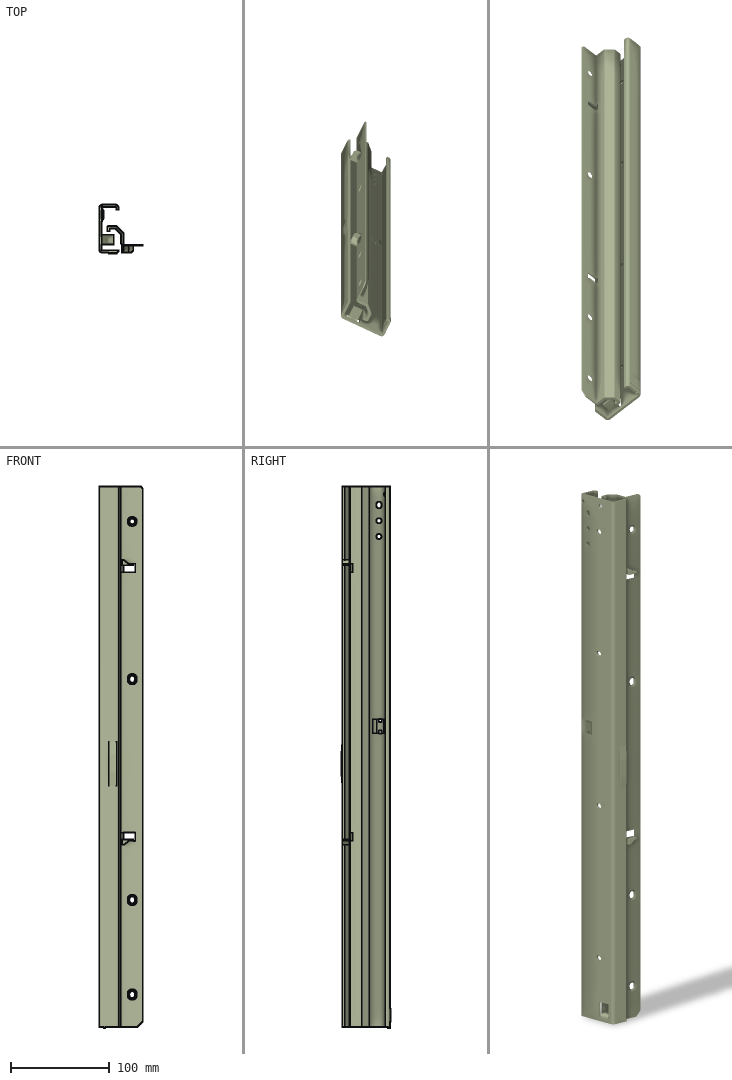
import cadquery as cq
import math

LENGTH = 548.6
OVERALL_WIDTH = 44.3
OVERALL_DEPTH = 50.2
OVERALL_HEIGHT = 550.0
OVERLAP = 0.5

FRONT_STOP_HEIGHT = 1.0
BACK_STOP_HEIGHT = 0.6
CHANNEL_DEPTH = OVERALL_DEPTH - FRONT_STOP_HEIGHT - BACK_STOP_HEIGHT
CHANNEL_SHEET = 2.5
FLANGE_REACH = 19.8
BACK_LIP = 5.2
BEND_INNER = 0.8
BEND_OUTER = BEND_INNER + CHANNEL_SHEET
FRONT_EDGE_ROUND = 2.4

WEB_HOLE = 5.0
PITCH = 32.0
TOP_SLOT_Z = 513.7
WEB_SLOT_Y = 21.4
WEB_SLOT_LENGTH = 6.6
WEB_SLOT_PITCHES = (0, 4, 9, 14)
UPPER_HOLE_Y = 37.2
UPPER_HOLE_SPACING = PITCH / 2
OVAL_HOLE_LENGTH = 6.5
END_HOLES_Y = (19.1, 45.0)
END_HOLE_Z = 540.6

WINDOW_Y = (7.0, 21.5)
WINDOW_Z = (4.1, 20.0)
STOP_TAB_Y = (8.2, 18.2)
STOP_TAB_REACH = 15.0
STOP_TAB_BEND = 4.2

RECESS_Y = (31.2, 46.0)
RECESS_Z = 305.2
RECESS_HEIGHT = 14.5
RECESS_DEPTH = 1.9
RECESS_SLOPE = 3.7
SLIT_Y = sum(RECESS_Y) / 2
SLIT_SIZE = 2.8

FRONT_STOP_X = (9.6, 18.0)
FRONT_STOP_Z = 267.2
FRONT_STOP_BASE = 44.4
FRONT_STOP_TOP = 18.3
BACK_STOP_X = (3.3, 17.0)
BACK_STOP_Z = (5.5, 18.7)
END_NIB_X = (4.4, 6.4)

RAIL_SHEET = 2.8
RAIL_WEB_X = 24.8
PLATE_BACK_Y = 8.1
PLATE_SHEET = 1.2
RAIL_TOP_Y = 27.2
RAIL_TIP_X = 8.0
RAIL_TIP_Y = 21.5
RAIL_BEND = 3.2
TIP_BEND = 2.0
SLOPE_SIZE = 7.4
LOWER_CHAMFER = 5.5
UPPER_CHAMFER = 2.2

PLATE_HOLE_X = 33.5
PLATE_HOLE = 5.6
PLATE_SLOT_LENGTH = 7.0
COUNTERSINK = 9.4
PLATE_HOLE_Z = 513.0
PLATE_SLOT_PITCHES = (5, 12, 15)

TAB_WINDOW_X = (21.0, 36.4)
TAB_WINDOW_HEIGHT = 8.4
UPPER_WINDOW_Z = 465.8
LOWER_WINDOW_Z = 193.0
TAB_X = (23.0, 34.6)
TAB_SHEET = 1.6
TAB_CORNER = 2.0
GUSSET_X = (TAB_X[0], 30.0)
GUSSET_HEIGHT = 4.0


def box(x, y, z):
    """Box spanning the three (low, high) ranges."""
    size = [high - low for low, high in (x, y, z)]
    return cq.Workplane().box(*size, centered=False).translate((x[0], y[0], z[0]))


def upright_edge(body, x, y):
    """Select the full-length edge of an extruded section at one corner."""
    reach = 0.1
    corner = cq.selectors.BoxSelector((x - reach, y - reach, 0), (x + reach, y + reach, LENGTH))
    return body.edges("|Z").edges(corner)


def web_slot(y, z, length_y, length_z):
    """Round-ended cutter through the channel web; equal lengths give a round hole."""
    depth = 2 * CHANNEL_SHEET
    plane = cq.Workplane("YZ", origin=(-OVERLAP, y, z))
    if length_y == length_z:
        return plane.circle(length_y / 2).extrude(depth)
    angle = 0 if length_y > length_z else 90
    return plane.slot2D(max(length_y, length_z), min(length_y, length_z), angle).extrude(depth)


def channel_section():
    """C-shaped bent sheet, its back flange ending in a lip."""
    t = CHANNEL_SHEET
    d = CHANNEL_DEPTH
    profile = (
        cq.Workplane()
        .polyline([
            (0, 0), (FLANGE_REACH, 0), (FLANGE_REACH, t), (t, t), (t, d - t),
            (FLANGE_REACH - t, d - t), (FLANGE_REACH - t, d - BACK_LIP),
            (FLANGE_REACH, d - BACK_LIP), (FLANGE_REACH, d), (0, d),
        ])
        .close()
        .extrude(LENGTH)
    )

    profile = upright_edge(profile, 0, 0).fillet(BEND_OUTER)
    profile = upright_edge(profile, 0, d).fillet(BEND_OUTER)
    profile = upright_edge(profile, FLANGE_REACH, d).fillet(BEND_OUTER)
    profile = upright_edge(profile, t, t).fillet(BEND_INNER)
    profile = upright_edge(profile, t, d - t).fillet(BEND_INNER)
    profile = upright_edge(profile, FLANGE_REACH - t, d - t).fillet(BEND_INNER)
    return upright_edge(profile, FLANGE_REACH, 0).fillet(FRONT_EDGE_ROUND)


def web_holes():
    cutters = [web_slot(y, END_HOLE_Z, WEB_HOLE, WEB_HOLE) for y in END_HOLES_Y]
    for pitches in WEB_SLOT_PITCHES:
        z = TOP_SLOT_Z - pitches * PITCH
        cutters.append(web_slot(WEB_SLOT_Y, z, WEB_SLOT_LENGTH, WEB_HOLE))
    for step, height in ((1, OVAL_HOLE_LENGTH), (0, WEB_HOLE), (-1, WEB_HOLE)):
        z = TOP_SLOT_Z + step * UPPER_HOLE_SPACING
        cutters.append(web_slot(UPPER_HOLE_Y, z, WEB_HOLE, height))
    return cutters


def stop_tab():
    """Tab that curves out of the web at the lower window edge and runs level into the channel."""
    inner_bend = STOP_TAB_BEND - CHANNEL_SHEET
    low = WINDOW_Z[0]
    center = (STOP_TAB_BEND, low)
    diagonal = math.sqrt(0.5)
    return (
        cq.Workplane("XZ", origin=(0, STOP_TAB_Y[1], 0))
        .moveTo(0, low - OVERLAP)
        .lineTo(0, low)
        .threePointArc(
            (center[0] - STOP_TAB_BEND * diagonal, center[1] + STOP_TAB_BEND * diagonal),
            (center[0], low + STOP_TAB_BEND),
        )
        .lineTo(STOP_TAB_REACH, low + STOP_TAB_BEND)
        .lineTo(STOP_TAB_REACH, low + inner_bend)
        .lineTo(center[0], low + inner_bend)
        .threePointArc(
            (center[0] - inner_bend * diagonal, center[1] + inner_bend * diagonal),
            (CHANNEL_SHEET, low),
        )
        .lineTo(CHANNEL_SHEET, low - OVERLAP)
        .close()
        .extrude(STOP_TAB_Y[1] - STOP_TAB_Y[0])
    )


def recess_prism(base_x, top_x):
    """Prism whose two Y sides slope from the base plane to the narrower raised plane."""
    low, high = RECESS_Y
    return (
        cq.Workplane("XY", origin=(0, 0, RECESS_Z - RECESS_HEIGHT / 2))
        .polyline([
            (base_x, low), (top_x, low + RECESS_SLOPE), (top_x, high - RECESS_SLOPE), (base_x, high),
        ])
        .close()
        .extrude(RECESS_HEIGHT)
    )


def front_stop():
    """Bump on the front flange with a ramp at each end."""
    half_base = FRONT_STOP_BASE / 2
    half_top = FRONT_STOP_TOP / 2
    return (
        cq.Workplane("YZ", origin=(FRONT_STOP_X[0], 0, FRONT_STOP_Z))
        .polyline([
            (OVERLAP, -half_base), (0, -half_base), (-FRONT_STOP_HEIGHT, -half_top),
            (-FRONT_STOP_HEIGHT, half_top), (0, half_base), (OVERLAP, half_base),
        ])
        .close()
        .extrude(FRONT_STOP_X[1] - FRONT_STOP_X[0])
    )


def back_stop():
    back = CHANNEL_DEPTH
    return box(BACK_STOP_X, (back - OVERLAP, back + BACK_STOP_HEIGHT), BACK_STOP_Z)


def end_nib():
    """Small nib hanging below the lower end of the back flange."""
    y = (CHANNEL_DEPTH - CHANNEL_SHEET, CHANNEL_DEPTH)
    return box(END_NIB_X, y, (LENGTH - OVERALL_HEIGHT, OVERLAP))


def make_channel():
    body = channel_section()
    body = body.union(recess_prism(CHANNEL_SHEET, CHANNEL_SHEET + RECESS_DEPTH))
    body = body.cut(recess_prism(0, RECESS_DEPTH))
    for side in (-1, 1):
        z = RECESS_Z + side * (RECESS_HEIGHT - SLIT_SIZE) / 2
        body = body.cut(
            box((0, 2 * CHANNEL_SHEET), (SLIT_Y - SLIT_SIZE / 2, SLIT_Y + SLIT_SIZE / 2),
                (z - SLIT_SIZE / 2, z + SLIT_SIZE / 2))
        )
    for cutter in web_holes():
        body = body.cut(cutter)
    body = body.cut(box((0, CHANNEL_SHEET), WINDOW_Y, WINDOW_Z))
    for feature in (stop_tab(), front_stop(), back_stop(), end_nib()):
        body = body.union(feature)
    return body


def rail_section():
    """Bent sheet: flat plate, upright web, 45 degree slope, top run and a short lip."""
    t = RAIL_SHEET
    web = RAIL_WEB_X
    miter = t * (math.sqrt(2) - 1)
    slope_y = RAIL_TOP_Y - SLOPE_SIZE
    slope_x = web - SLOPE_SIZE
    profile = (
        cq.Workplane()
        .polyline([
            (OVERALL_WIDTH, PLATE_BACK_Y), (web, PLATE_BACK_Y), (web, slope_y),
            (slope_x, RAIL_TOP_Y), (RAIL_TIP_X, RAIL_TOP_Y), (RAIL_TIP_X, RAIL_TIP_Y),
            (RAIL_TIP_X + t, RAIL_TIP_Y), (RAIL_TIP_X + t, RAIL_TOP_Y - t),
            (slope_x - miter, RAIL_TOP_Y - t), (web - t, slope_y - miter),
            (web - t, PLATE_BACK_Y - PLATE_SHEET), (OVERALL_WIDTH, PLATE_BACK_Y - PLATE_SHEET),
        ])
        .close()
        .extrude(LENGTH)
    )
    profile = upright_edge(profile, web - t, PLATE_BACK_Y - PLATE_SHEET).fillet(RAIL_BEND)
    return upright_edge(profile, RAIL_TIP_X, RAIL_TOP_Y).fillet(TIP_BEND)


def corner_cutter(z, size):
    """Triangular cutter for a corner of the plate; a negative size cuts downwards from z."""
    return (
        cq.Workplane("XZ", origin=(0, PLATE_BACK_Y, 0))
        .polyline([(OVERALL_WIDTH, z), (OVERALL_WIDTH - abs(size), z), (OVERALL_WIDTH, z + size)])
        .close()
        .extrude(PLATE_SHEET)
    )


def plate_hole(z, length):
    """Countersunk opening in the plate; a length above PLATE_HOLE makes it an upright slot."""
    stretch = length - PLATE_HOLE
    taper = math.degrees(math.atan2((COUNTERSINK - PLATE_HOLE) / 2, PLATE_SHEET))
    mouth = cq.Workplane("ZX", origin=(PLATE_HOLE_X, PLATE_BACK_Y - PLATE_SHEET, z))
    if stretch == 0:
        mouth = mouth.circle(COUNTERSINK / 2)
    else:
        mouth = mouth.slot2D(COUNTERSINK + stretch, COUNTERSINK)
    return mouth.extrude(PLATE_SHEET, taper=taper)


def bent_tab(edge_z, toward_plate):
    """Tab in front of the plate along one window edge, with a gusset beside it.

    toward_plate is +1 where the plate continues above the edge, -1 where it continues below.
    """
    front = 0
    back = PLATE_BACK_Y
    plate = (
        cq.Workplane("XY", origin=(0, 0, edge_z))
        .polyline([
            (TAB_X[0], back), (TAB_X[0], front), (TAB_X[1] - TAB_CORNER, front),
            (TAB_X[1], front + TAB_CORNER), (TAB_X[1], back),
        ])
        .close()
        .extrude(-toward_plate * TAB_SHEET)
    )
    gusset = (
        cq.Workplane("XZ", origin=(0, back - PLATE_SHEET + OVERLAP, 0))
        .polyline([
            (GUSSET_X[0], edge_z), (GUSSET_X[1], edge_z),
            (RAIL_WEB_X, edge_z + toward_plate * GUSSET_HEIGHT),
            (GUSSET_X[0], edge_z + toward_plate * GUSSET_HEIGHT),
        ])
        .close()
        .extrude(back - PLATE_SHEET + OVERLAP - front)
    )
    return plate.union(gusset)


def make_rail():
    body = rail_section()
    body = body.cut(corner_cutter(0, LOWER_CHAMFER))
    body = body.cut(corner_cutter(LENGTH, -UPPER_CHAMFER))
    body = body.cut(plate_hole(PLATE_HOLE_Z, PLATE_HOLE))
    for pitches in PLATE_SLOT_PITCHES:
        body = body.cut(plate_hole(PLATE_HOLE_Z - pitches * PITCH, PLATE_SLOT_LENGTH))
    half = TAB_WINDOW_HEIGHT / 2
    for z, side in ((UPPER_WINDOW_Z, 1), (LOWER_WINDOW_Z, -1)):
        body = body.cut(box(TAB_WINDOW_X, (0, PLATE_BACK_Y + RAIL_SHEET), (z - half, z + half)))
        body = body.union(bent_tab(z + side * half, side))
    return body


channel = make_channel()
rail = make_rail()
result = cq.Compound.makeCompound([channel.val(), rail.val()])